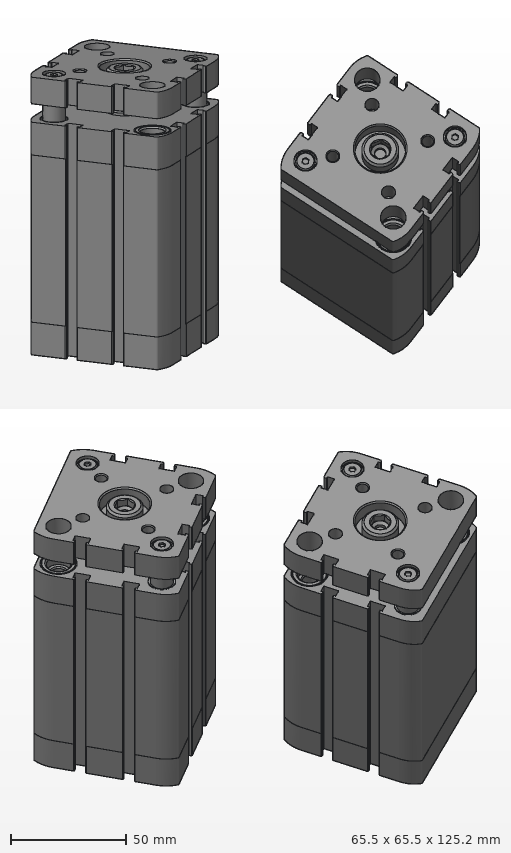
import cadquery as cq
import math

WIDTH = 65.5
HALF = WIDTH / 2
CORNER_RADIUS = 16.4
EDGE_BLEND = 1.0
PORT_OFFSET = 23.3
SLOT_OFFSET = 11.0
SLOT_MOUTH = 5.0
SLOT_WIDTH = 7.0
SLOT_DEPTH = 4.8
SLOT_LIP = 1.5
SLOT_CHAMFER = 0.4

TOTAL_HEIGHT = 125.2
PLATE_THICKNESS = 12.0
GAP = 8.3
CAP_HEIGHT = 14.8
TUBE_INSET = 0.06
PLATE_BOTTOM = TOTAL_HEIGHT - PLATE_THICKNESS
HOUSING_HEIGHT = PLATE_BOTTOM - GAP
ROD_END = HOUSING_HEIGHT - CAP_HEIGHT

BOLT_HOLE = 6.6
BOLT_CHAMFER_TOP = 7.8
BOLT_BORE = 10.6
BOLT_BORE_DEPTH = 4.9
BOLT_MOUTH = 12.0
RING_OUTER = 16.0
RING_INNER = 14.8
RING_DEPTH = 1.3

GUIDE_ROD = 10.0
GUIDE_RECESS = 12.0
GUIDE_RECESS_DEPTH = 0.5
STUD = 8.5
STUD_CHAMFER = 0.56
STUD_DROP = 0.5
STUD_POCKET_DEPTH = 1.5
STUD_HEX = 2.8
STUD_HEX_DEPTH = 3.1

PISTON_ROD = 16.0
ROD_TOP_DROP = 0.8
ROD_TOP_ROUND = 1.0
FLAT_WIDTH = 13.0
FLAT_BOTTOM = HOUSING_HEIGHT + 1.8
FLAT_SLOPE = math.radians(20)
ROD_HEX = 8.0
ROD_HEX_DEPTH = 3.8
HEX_CORNERS = 2 / math.sqrt(3)
DRILL = 5.0
DRILL_DEPTH = 6.3
DRILL_SLOPE = math.radians(30)

ROD_BORE = 22.0
ROD_BORE_DEPTH = 6.9
ROD_BORE_CHAMFER = 0.6
PLATE_BOLT_HOLE = 11.0
PIN_OFFSET = 14.8
PIN_HOLE = 6.0
THREAD_HOLE = 5.0


def cylinder(diameter, bottom, top, x=0, y=0):
    return cq.Workplane("XY", origin=(x, y, bottom)).circle(diameter / 2).extrude(top - bottom)


def cone(bottom_diameter, top_diameter, bottom, top, x=0, y=0):
    solid = cq.Solid.makeCone(
        bottom_diameter / 2, top_diameter / 2, top - bottom, cq.Vector(x, y, bottom), cq.Vector(0, 0, 1)
    )
    return cq.Workplane(obj=solid)


def hexagon(across_flats, bottom, top, x=0, y=0):
    outline = cq.Workplane("XY", origin=(x, y, bottom)).polygon(6, across_flats * HEX_CORNERS)
    return outline.extrude(top - bottom)


def profile_block(bottom, top, inset=0.0):
    """Square block whose four corners are cut by arcs tangent to the left and right sides."""
    side = HALF - inset
    radius = CORNER_RADIUS - inset
    arc_x = HALF - CORNER_RADIUS
    rise = side - PORT_OFFSET
    end_x = arc_x + math.sqrt(radius**2 - rise**2)
    half_angle = math.asin(rise / radius) / 2
    mid_x = arc_x + radius * math.cos(half_angle)
    mid_y = PORT_OFFSET + radius * math.sin(half_angle)
    return (
        cq.Workplane("XY", origin=(0, 0, bottom))
        .moveTo(-end_x, side)
        .lineTo(end_x, side)
        .threePointArc((mid_x, mid_y), (side, PORT_OFFSET))
        .lineTo(side, -PORT_OFFSET)
        .threePointArc((mid_x, -mid_y), (end_x, -side))
        .lineTo(-end_x, -side)
        .threePointArc((-mid_x, -mid_y), (-side, -PORT_OFFSET))
        .lineTo(-side, PORT_OFFSET)
        .threePointArc((-mid_x, mid_y), (-end_x, side))
        .close()
        .extrude(top - bottom)
        .edges("|Z and (>Y or <Y)")
        .fillet(EDGE_BLEND)
    )


def slot_cutter(offset, bottom, top):
    """T-slot in the front side: bevelled mouth, straight lip and wider pocket behind it."""
    face_y = -HALF
    lip_y = face_y + SLOT_LIP
    floor_y = face_y + SLOT_DEPTH
    mouth = SLOT_MOUTH / 2
    pocket = SLOT_WIDTH / 2
    right_side = [
        (mouth + SLOT_CHAMFER, face_y),
        (mouth, face_y + SLOT_CHAMFER),
        (mouth, lip_y),
        (pocket, lip_y),
        (pocket, floor_y),
    ]
    left_side = [(-x, y) for x, y in reversed(right_side)]
    outline = cq.Workplane("XY", origin=(offset, 0, bottom)).polyline(right_side + left_side)
    return outline.close().extrude(top - bottom)


def cut_slots(body, bottom, top):
    """Two T-slots along the height of the front, left and right sides."""
    for turn in (-90, 0, 90):
        for offset in (-SLOT_OFFSET, SLOT_OFFSET):
            body = body.cut(slot_cutter(offset, bottom, top).rotate((0, 0, 0), (0, 0, 1), turn))
    return body


BOLT_PLACES = [(-PORT_OFFSET, PORT_OFFSET), (PORT_OFFSET, -PORT_OFFSET)]
GUIDE_PLACES = [(-PORT_OFFSET, -PORT_OFFSET), (PORT_OFFSET, PORT_OFFSET)]
PIN_PLACES = [(-PIN_OFFSET, PIN_OFFSET), (PIN_OFFSET, -PIN_OFFSET)]
THREAD_PLACES = [(-PIN_OFFSET, -PIN_OFFSET), (PIN_OFFSET, PIN_OFFSET)]


def housing_bolt_hole(x, y):
    """Through hole with a countersunk, stepped mouth and a shallow ring groove around it."""
    top = HOUSING_HEIGHT
    floor = top - BOLT_BORE_DEPTH
    sink = (BOLT_CHAMFER_TOP - BOLT_HOLE) / 2
    mouth = (BOLT_MOUTH - BOLT_BORE) / 2
    ring = cylinder(RING_OUTER, top - RING_DEPTH, top, x, y).cut(
        cylinder(RING_INNER, top - RING_DEPTH, top, x, y)
    )
    return (
        cylinder(BOLT_HOLE, 0, top, x, y)
        .union(cone(BOLT_HOLE, BOLT_CHAMFER_TOP, floor - sink, floor, x, y))
        .union(cylinder(BOLT_BORE, floor, top, x, y))
        .union(cone(BOLT_BORE, BOLT_MOUTH, top - mouth, top, x, y))
        .union(ring)
    )


def make_housing():
    tube_top = HOUSING_HEIGHT - CAP_HEIGHT
    body = (
        profile_block(0, CAP_HEIGHT)
        .union(profile_block(CAP_HEIGHT, tube_top, TUBE_INSET))
        .union(profile_block(tube_top, HOUSING_HEIGHT))
    )
    body = cut_slots(body, 0, HOUSING_HEIGHT)
    body = body.cut(cylinder(PISTON_ROD, ROD_END, HOUSING_HEIGHT))
    for x, y in BOLT_PLACES:
        body = body.cut(housing_bolt_hole(x, y))
    for x, y in GUIDE_PLACES:
        body = body.cut(cylinder(GUIDE_ROD, ROD_END, HOUSING_HEIGHT, x, y))
        body = body.cut(cylinder(GUIDE_RECESS, HOUSING_HEIGHT - GUIDE_RECESS_DEPTH, HOUSING_HEIGHT, x, y))
    return body


def make_plate():
    plate = cut_slots(profile_block(PLATE_BOTTOM, TOTAL_HEIGHT), PLATE_BOTTOM, TOTAL_HEIGHT)
    plate = plate.cut(cylinder(ROD_BORE, TOTAL_HEIGHT - ROD_BORE_DEPTH, TOTAL_HEIGHT))
    plate = plate.cut(
        cone(ROD_BORE, ROD_BORE + 2 * ROD_BORE_CHAMFER, TOTAL_HEIGHT - ROD_BORE_CHAMFER, TOTAL_HEIGHT)
    )
    for x, y in BOLT_PLACES:
        plate = plate.cut(cylinder(PLATE_BOLT_HOLE, PLATE_BOTTOM, TOTAL_HEIGHT, x, y))
    for x, y in PIN_PLACES:
        plate = plate.cut(cylinder(PIN_HOLE, PLATE_BOTTOM, TOTAL_HEIGHT, x, y))
    sink = (PIN_HOLE - THREAD_HOLE) / 2
    for x, y in THREAD_PLACES:
        plate = plate.cut(cylinder(THREAD_HOLE, PLATE_BOTTOM, TOTAL_HEIGHT, x, y))
        plate = plate.cut(cone(THREAD_HOLE, PIN_HOLE, TOTAL_HEIGHT - sink, TOTAL_HEIGHT, x, y))
    for x, y in GUIDE_PLACES:
        plate = plate.cut(cylinder(GUIDE_ROD, TOTAL_HEIGHT - STUD_POCKET_DEPTH, TOTAL_HEIGHT, x, y))
    return plate


def guide_rod(x, y):
    stud_top = TOTAL_HEIGHT - STUD_DROP
    stud = cylinder(STUD, PLATE_BOTTOM, stud_top, x, y).faces(">Z").chamfer(STUD_CHAMFER)
    socket = hexagon(STUD_HEX, stud_top - STUD_HEX_DEPTH, stud_top, x, y)
    return cylinder(GUIDE_ROD, ROD_END, PLATE_BOTTOM, x, y).union(stud).cut(socket)


def wrench_flat():
    """Cutter for the front flat: vertical face above a floor that slopes down outwards."""
    face_y = -FLAT_WIDTH / 2
    outer_y = -PISTON_ROD
    drop = (face_y - outer_y) * math.tan(FLAT_SLOPE)
    return (
        cq.Workplane("YZ", origin=(-PISTON_ROD / 2, 0, 0))
        .moveTo(face_y, FLAT_BOTTOM)
        .lineTo(face_y, PLATE_BOTTOM)
        .lineTo(outer_y, PLATE_BOTTOM)
        .lineTo(outer_y, FLAT_BOTTOM - drop)
        .close()
        .extrude(PISTON_ROD)
    )


def drill_hole(hex_floor, drill_floor):
    """Cutter below the hexagon: conical step, then a straight drilling with a pointed end."""
    hex_fall = (ROD_HEX - DRILL) / 2 * math.tan(DRILL_SLOPE)
    drill_fall = DRILL / 2 * math.tan(DRILL_SLOPE)
    return (
        cq.Workplane("XZ")
        .moveTo(0, hex_floor)
        .lineTo(ROD_HEX / 2, hex_floor)
        .lineTo(DRILL / 2, hex_floor - hex_fall)
        .lineTo(DRILL / 2, drill_floor)
        .lineTo(0, drill_floor - drill_fall)
        .close()
        .revolve(360, (0, 0, 0), (0, 1, 0))
    )


def piston_rod():
    top = TOTAL_HEIGHT - ROD_TOP_DROP
    rod = cylinder(PISTON_ROD, ROD_END, top).faces(">Z").chamfer(ROD_TOP_ROUND)
    flat = wrench_flat()
    rod = rod.cut(flat).cut(flat.mirror("XZ"))
    hex_floor = top - ROD_HEX_DEPTH
    drill_floor = top - DRILL_DEPTH
    mouth = ROD_HEX * HEX_CORNERS
    sink = (mouth - ROD_HEX) / 2
    return (
        rod.cut(hexagon(ROD_HEX, hex_floor, top))
        .cut(cone(ROD_HEX, mouth, top - sink, top))
        .cut(drill_hole(hex_floor, drill_floor))
    )


def make_carriage():
    """Moving body: front plate, piston rod and two guide rods in one piece."""
    carriage = make_plate().union(piston_rod())
    for x, y in GUIDE_PLACES:
        carriage = carriage.union(guide_rod(x, y))
    return carriage


housing = make_housing()
carriage = make_carriage()
result = cq.Compound.makeCompound([housing.val(), carriage.val()])